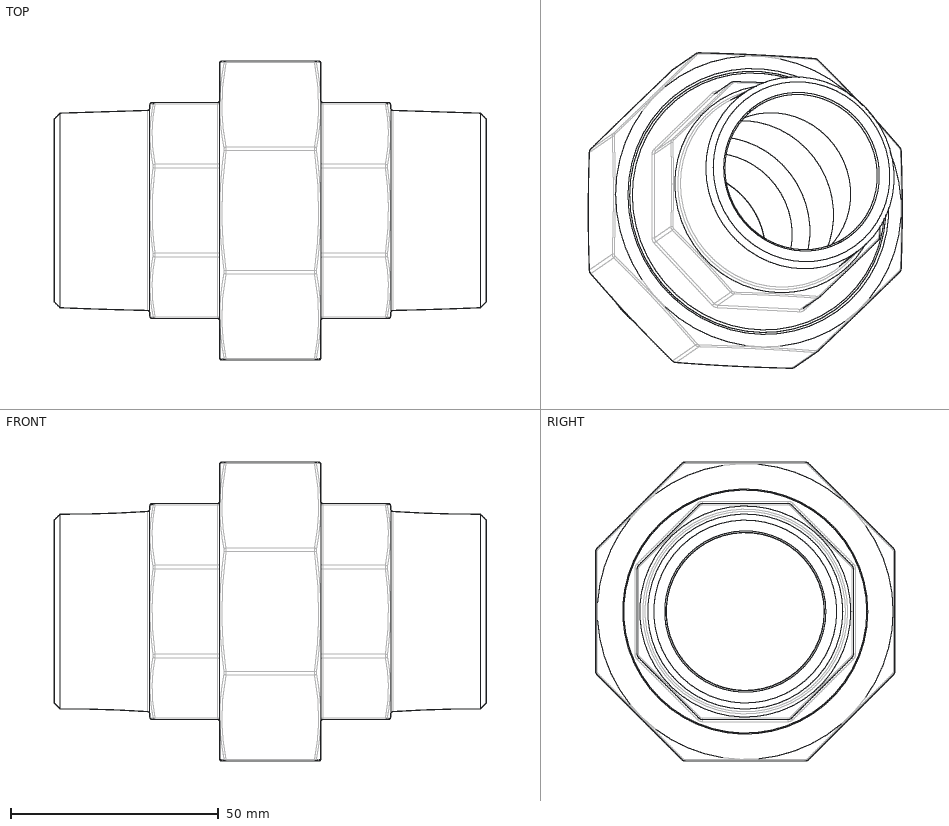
import cadquery as cq
import math


TOTAL_LENGTH = 104.0
HALF_LENGTH = TOTAL_LENGTH / 2
NUT_FLATS = 72.0
NUT_WIDTH = 24.3
NUT_FACE = NUT_WIDTH / 2

OCTAGON_SIDES = 8
LONG_EDGE_ROUND = 1.2
CORNER_CHAMFER_ANGLE = 20.0
CHAMFER_EDGE_ROUND = 0.5
NUT_CHAMFER_DIAMETER = 71.1
GRIP_FLATS = 52.0
GRIP_CHAMFER_DIAMETER = 50.8
GRIP_FACE = 29.0
ROOT_ROUND = 0.5

TIP_DIAMETER = 44.0
TIP_CHAMFER = 1.5
THREAD_TAPER = 1 / 16

BORE_DIAMETER = 38.0
BORE_CHAMFER = 0.4
BORE_DEPTH = 25.0
CHAMBER_DIAMETER = 44.0
CHAMBER_CONE_ANGLE = 30.0

JOINT_DIAMETER = 63.9
PLUG_FACE_DIAMETER = 62.8
NUT_MOUTH_DIAMETER = 65.0
NECK_DIAMETER = 58.5
LIP_BORE_DIAMETER = 59.0
LIP_THICKNESS = 5.2


def cylinder(diameter, start, end):
    """Solid cylinder along X from start to end."""
    return cq.Workplane("YZ").workplane(offset=start).circle(diameter / 2).extrude(end - start)


def cone(start, start_diameter, end, end_diameter):
    """Solid cone along X from start to end."""
    profile = [(start, 0), (start, start_diameter / 2), (end, end_diameter / 2), (end, 0)]
    return cq.Workplane("XY").polyline(profile).close().revolve(360, (0, 0, 0), (1, 0, 0))


def octagon_bar(flats, start, end):
    """Octagonal bar along X, with flats facing Y and Z and rounded long edges."""
    corner_diameter = flats / math.cos(math.pi / OCTAGON_SIDES)
    bar = (
        cq.Workplane("YZ")
        .workplane(offset=start)
        .transformed(rotate=(0, 0, 180 / OCTAGON_SIDES))
        .polygon(OCTAGON_SIDES, corner_diameter)
        .extrude(end - start)
    )
    return bar.edges("|X").fillet(LONG_EDGE_ROUND)


def corner_cutter(face_x, face_diameter, length):
    """Cone opening towards +X that limits the corners of an octagonal bar starting at face_x."""
    end_diameter = face_diameter + 2 * length / math.tan(math.radians(CORNER_CHAMFER_ANGLE))
    return cone(face_x, face_diameter, face_x + length, end_diameter)


def chamfer_rim(bar):
    """Select the wavy rim where the corner chamfers meet the flats and long edges of a bar."""
    return bar.edges("not(#X or |X or %CIRCLE)")


def make_thread():
    """Left tapered end with a chamfered tip and a rounded root against the grip face."""
    start_radius = TIP_DIAMETER / 2 + TIP_CHAMFER
    start_x = -HALF_LENGTH + TIP_CHAMFER
    root_x = -GRIP_FACE - ROOT_ROUND
    root_radius = start_radius + (root_x - start_x) * THREAD_TAPER / 2
    arc_drop = ROOT_ROUND * math.sin(math.pi / 4)
    arc_middle = (root_x + arc_drop, root_radius + ROOT_ROUND - arc_drop)
    return (
        cq.Workplane("XY")
        .moveTo(-HALF_LENGTH, 0)
        .lineTo(-HALF_LENGTH, TIP_DIAMETER / 2)
        .lineTo(start_x, start_radius)
        .lineTo(root_x, root_radius)
        .threePointArc(arc_middle, (-GRIP_FACE, root_radius + ROOT_ROUND))
        .lineTo(-GRIP_FACE, 0)
        .close()
        .revolve(360, (0, 0, 0), (1, 0, 0))
    )


def make_grip():
    """Left octagonal grip with chamfered, rounded corners at its outer face."""
    length = GRIP_FACE - NUT_FACE
    grip = octagon_bar(GRIP_FLATS, -GRIP_FACE, -NUT_FACE)
    grip = grip.intersect(corner_cutter(-GRIP_FACE, GRIP_CHAMFER_DIAMETER, length))
    return chamfer_rim(grip).fillet(CHAMFER_EDGE_ROUND)


def make_bore():
    """Left half of the bore: chamfered mouth, straight length, cone and chamber."""
    cone_start = -HALF_LENGTH + BORE_DEPTH
    cone_length = (CHAMBER_DIAMETER - BORE_DIAMETER) / 2 / math.tan(math.radians(CHAMBER_CONE_ANGLE))
    cone_end = cone_start + cone_length
    mouth_diameter = BORE_DIAMETER + 2 * BORE_CHAMFER
    bore = cylinder(BORE_DIAMETER, -HALF_LENGTH, cone_start)
    bore = bore.union(cone(-HALF_LENGTH, mouth_diameter, -HALF_LENGTH + BORE_CHAMFER, BORE_DIAMETER))
    bore = bore.union(cone(cone_start, BORE_DIAMETER, cone_end, CHAMBER_DIAMETER))
    return bore.union(cylinder(CHAMBER_DIAMETER, cone_end, 0))


def make_pipe_end(joint):
    """Left pipe end: thread and grip joined to a turned joint section, then bored through."""
    body = make_grip().union(joint)
    grip_root = cq.selectors.BoxSelector(
        (-NUT_FACE - ROOT_ROUND, -GRIP_FLATS / 2 - ROOT_ROUND, -GRIP_FLATS / 2 - ROOT_ROUND),
        (-NUT_FACE + ROOT_ROUND, GRIP_FLATS / 2 + ROOT_ROUND, GRIP_FLATS / 2 + ROOT_ROUND),
        boundingbox=True,
    )
    body = body.edges(grip_root).fillet(ROOT_ROUND)
    return body.union(make_thread()).cut(make_bore())


def make_plug_end():
    """Left pipe end, whose plug fills the mouth of the nut."""
    plug_chamfer = (JOINT_DIAMETER - PLUG_FACE_DIAMETER) / 2
    plug = cylinder(JOINT_DIAMETER, -NUT_FACE, 0).faces("<X").chamfer(plug_chamfer)
    return make_pipe_end(plug)


def make_collar_end():
    """Right pipe end, whose collar is held behind the lip of the nut; built mirrored from the left."""
    neck = cylinder(NECK_DIAMETER, -NUT_FACE, 0)
    collar = cylinder(JOINT_DIAMETER, -NUT_FACE + LIP_THICKNESS, 0)
    return make_pipe_end(neck.union(collar)).mirror("YZ")


def make_nut():
    """Octagonal nut chamfered on both faces, open on the left and lipped on the right."""
    cutter = corner_cutter(-NUT_FACE, NUT_CHAMFER_DIAMETER, NUT_WIDTH)
    blank = octagon_bar(NUT_FLATS, -NUT_FACE, NUT_FACE).intersect(cutter).intersect(cutter.mirror("YZ"))
    blank = chamfer_rim(blank).fillet(CHAMFER_EDGE_ROUND)
    mouth_depth = (NUT_MOUTH_DIAMETER - JOINT_DIAMETER) / 2
    mouth = cone(-NUT_FACE, NUT_MOUTH_DIAMETER, -NUT_FACE + mouth_depth, JOINT_DIAMETER)
    cavity = cylinder(JOINT_DIAMETER, -NUT_FACE, NUT_FACE - LIP_THICKNESS)
    lip_bore = cylinder(LIP_BORE_DIAMETER, -NUT_FACE, NUT_FACE)
    return blank.cut(mouth).cut(cavity).cut(lip_bore)


plug_end = make_plug_end().solids()
collar_end = make_collar_end().solids()
nut = make_nut().solids()

result = cq.Compound.makeCompound([plug_end.val(), collar_end.val(), nut.val()])